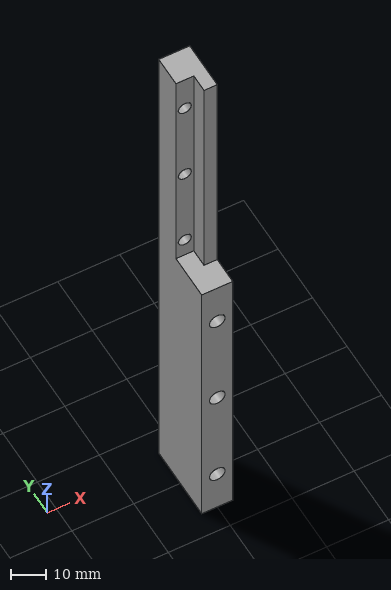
import cadquery as cq

length = 180.0
width = 10.0
depth = 25.0

arm_length = 80.0
rear_depth = 10.0
arm_depth = 16.0
rib_width = 4.3

hole_count = 3
arm_hole_diameter = 4.1
arm_hole_pitch = 30.0
arm_hole_top_margin = 13.0
body_hole_diameter = 5.0
body_hole_pitch = 35.0
body_hole_bottom_margin = 15.1

body_length = length - arm_length
ledge_width = width - rib_width


def box_from(x, y, z, size_x, size_y, size_z):
    """Box with its lowest corner at (x, y, z)."""
    return cq.Workplane("XY").box(size_x, size_y, size_z, centered=False).translate((x, y, z))


def hole_row(diameter, x, first_z, pitch):
    """Row of cylinders running through the whole depth, spaced upwards."""
    points = [(x, first_z + i * pitch) for i in range(hole_count)]
    return cq.Workplane("XZ").pushPoints(points).circle(diameter / 2).extrude(-depth)


body = box_from(0, 0, 0, width, depth, body_length)
rear_strip = box_from(0, depth - rear_depth, 0, width, rear_depth, length)
rib = box_from(ledge_width, depth - arm_depth, 0, rib_width, arm_depth, length)

lowest_arm_hole = length - arm_hole_top_margin - (hole_count - 1) * arm_hole_pitch
arm_holes = hole_row(arm_hole_diameter, ledge_width / 2, lowest_arm_hole, arm_hole_pitch)
body_holes = hole_row(body_hole_diameter, width / 2, body_hole_bottom_margin, body_hole_pitch)

result = body.union(rear_strip).union(rib).cut(arm_holes).cut(body_holes)